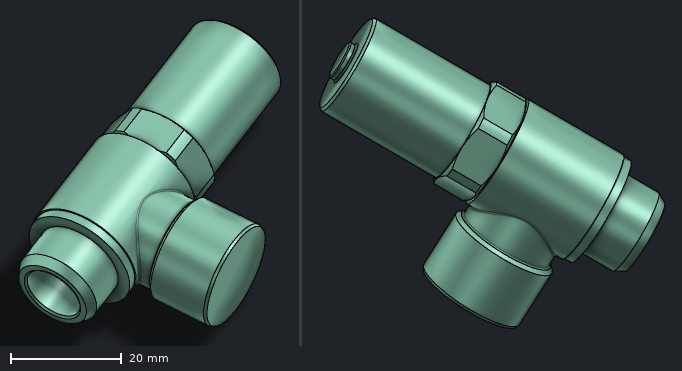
import cadquery as cq

spigot_radius = 8.25
spigot_tip_radius = 7.2
spigot_chamfer_length = 1.9
collar_start = 9.2
collar_radius = 10.7
body_start = 10.95
body_radius = 11.0
body_end = 31.1
sleeve_start = 38.5
sleeve_radius = 9.75
sleeve_end = 63.1
sleeve_chamfer = 0.5
total_length = 64.5

button_radius = 3.7
button_root_radius = 4.1
button_root_height = 0.3
button_edge = 0.25

bore_radius = 5.6
bore_chamfer = 0.4
bore_depth = collar_start

hex_across_flats = 20.0
hex_corner_radius = 10.95
hex_chamfer_length = 0.65
hex_turn_angle = 30

branch_y = 21.0
neck_radius = 9.0
neck_end = 13.5
saddle_fillet = 0.4
head_fillet = 0.25
head_radius = 10.25
head_shoulder_radius = 9.5
head_shoulder_end = 14.2
branch_end = 37.0 - body_radius
head_chamfer_length = 0.6
head_tip_radius = 10.0


def revolve_about_y(points):
    """Solid of revolution about Y from (radius, y) points."""
    return cq.Workplane("XY").polyline(points).close().revolve(360, (0, 0, 0), (0, 1, 0))


def make_main_body():
    return revolve_about_y([
        (0, 0),
        (spigot_tip_radius, 0),
        (spigot_radius, spigot_chamfer_length),
        (spigot_radius, collar_start),
        (collar_radius, collar_start),
        (collar_radius, body_start),
        (body_radius, body_start),
        (body_radius, body_end),
        (0, body_end),
    ])


def make_sleeve():
    button_root_end = sleeve_end + button_root_height
    return revolve_about_y([
        (0, body_end),
        (sleeve_radius, body_end),
        (sleeve_radius, sleeve_end - sleeve_chamfer),
        (sleeve_radius - sleeve_chamfer, sleeve_end),
        (button_root_radius, sleeve_end),
        (button_radius, button_root_end),
        (button_radius, total_length - button_edge),
        (button_radius - button_edge, total_length),
        (0, total_length),
    ])


def make_hexagon():
    """Hexagon with two flats facing +Z and -Z and both ends coned off."""
    flat_distance = hex_across_flats / 2
    prism = (
        cq.Workplane("XZ", origin=(0, body_end, 0))
        .polygon(6, hex_across_flats, circumscribed=True)
        .extrude(body_end - sleeve_start)
        .rotate((0, 0, 0), (0, 1, 0), hex_turn_angle)
    )
    envelope = revolve_about_y([
        (0, body_end),
        (flat_distance, body_end),
        (hex_corner_radius, body_end + hex_chamfer_length),
        (hex_corner_radius, sleeve_start - hex_chamfer_length),
        (flat_distance, sleeve_start),
        (0, sleeve_start),
    ])
    return prism.intersect(envelope)


def make_neck():
    return cq.Workplane("YZ").center(branch_y, 0).circle(neck_radius).extrude(neck_end)


def make_branch_head():
    profile = [
        (neck_end, 0),
        (neck_end, head_shoulder_radius),
        (head_shoulder_end, head_radius),
        (branch_end - head_chamfer_length, head_radius),
        (branch_end, head_tip_radius),
        (branch_end, 0),
    ]
    return (
        cq.Workplane("XY", origin=(0, branch_y, 0))
        .polyline(profile)
        .close()
        .revolve(360, (0, 0, 0), (1, 0, 0))
    )


def make_bore():
    return revolve_about_y([
        (0, 0),
        (bore_radius + bore_chamfer, 0),
        (bore_radius, bore_chamfer),
        (bore_radius, bore_depth),
        (0, bore_depth),
    ])


pick_margin = 0.65
saddle_zone = cq.selectors.BoxSelector(
    (0, body_start + pick_margin, -body_radius),
    (neck_end - pick_margin, body_end - pick_margin, body_radius),
)
ring_reach = neck_radius + (head_shoulder_radius - neck_radius) / 2
ring_zone = cq.selectors.BoxSelector(
    (neck_end - head_fillet, branch_y - ring_reach, -ring_reach),
    (neck_end + head_fillet, branch_y + ring_reach, ring_reach),
    boundingbox=True,
)

body_with_neck = make_main_body().union(make_neck())
body_with_neck = body_with_neck.edges(saddle_zone).edges("not %LINE").fillet(saddle_fillet)
body_with_branch = body_with_neck.union(make_branch_head())
body_with_branch = body_with_branch.edges(ring_zone).fillet(head_fillet)

result = (
    body_with_branch
    .union(make_hexagon())
    .union(make_sleeve())
    .cut(make_bore())
)